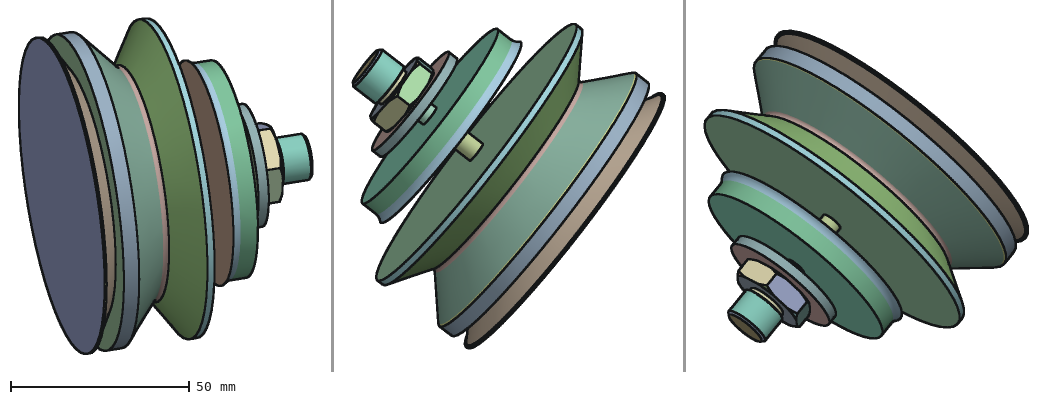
import cadquery as cq
import math

OVERALL_LENGTH = 71.5

LIP_RADIUS = 90.0 / 2
LIP_THICKNESS = 0.6
LIP_STEP = 0.6
LIP_ROOT_RADIUS = 36.4
BAND_START = 5.6
BAND_END = 10.1
BAND_SHOULDER = 0.5
WAIST_FRONT = 20.3
WAIST_REAR = 21.9
WAIST_EDGE_RADIUS = 33.8
WAIST_RADIUS = 33.5
RIM_START = 29.8
RIM_END = 31.9
RIM_RADIUS = 45.5

COLLAR_START = 41.1
COLLAR_FLARE_END = 43.6
COLLAR_END = 48.6
COLLAR_RADIUS = 62.0 / 2
FLARE_RADIUS = 32.1
FLARE_MID_RADIUS = 31.3

WASHER_START = 52.5
WASHER_END = 55.5
WASHER_DIAMETER = 35.0
NUT_END = 61.5
NUT_FLATS = 21.0
NUT_TILT = 3.3
NUT_CHAMFER_HEIGHT = 0.8
NUT_FACE_DIAMETER = 21.7
NECK_END = 63.0
NECK_DIAMETER = 11.5
STUD_DIAMETER = 13.2
STUD_CHAMFER = 0.7

CORE_DIAMETER = 6.0


def plane_at(y):
    """Plane across the axis at height y, with its normal along +Y."""
    return cq.Workplane(cq.Plane((0, y, 0), (1, 0, 0), (0, 1, 0)))


def disc(diameter, start, end):
    return plane_at(start).circle(diameter / 2).extrude(end - start)


def revolve_profile(profile):
    """Close a radius-height profile on the axis and turn it about Y."""
    return profile.close().revolve(360, (0, 0, 0), (0, 1, 0))


def make_bellows():
    profile = (
        cq.Workplane("XY")
        .lineTo(LIP_RADIUS, 0)
        .lineTo(LIP_RADIUS, LIP_THICKNESS)
        .lineTo(LIP_RADIUS - LIP_STEP, LIP_THICKNESS)
        .lineTo(LIP_ROOT_RADIUS, BAND_START)
        .lineTo(LIP_RADIUS, BAND_START)
        .lineTo(LIP_RADIUS, BAND_END)
        .lineTo(LIP_RADIUS - BAND_SHOULDER, BAND_END + BAND_SHOULDER)
        .lineTo(WAIST_EDGE_RADIUS, WAIST_FRONT)
        .threePointArc(
            (WAIST_RADIUS, (WAIST_FRONT + WAIST_REAR) / 2),
            (WAIST_EDGE_RADIUS, WAIST_REAR),
        )
        .lineTo(RIM_RADIUS, RIM_START)
        .lineTo(RIM_RADIUS, RIM_END)
        .lineTo(0, RIM_END)
    )
    return revolve_profile(profile)


def make_collar():
    flare_middle = (COLLAR_START + COLLAR_FLARE_END) / 2
    profile = (
        cq.Workplane("XY")
        .moveTo(0, COLLAR_START)
        .lineTo(FLARE_RADIUS, COLLAR_START)
        .threePointArc((FLARE_MID_RADIUS, flare_middle), (COLLAR_RADIUS, COLLAR_FLARE_END))
        .lineTo(COLLAR_RADIUS, COLLAR_END)
        .lineTo(0, COLLAR_END)
    )
    return revolve_profile(profile)


def make_nut():
    """Hexagon whose corners are trimmed by a cone at both ends."""
    height = NUT_END - WASHER_END
    hexagon = (
        plane_at(WASHER_END)
        .transformed(rotate=(0, 0, NUT_TILT))
        .polygon(6, NUT_FLATS, circumscribed=True)
        .extrude(height)
    )
    face_radius = NUT_FACE_DIAMETER / 2
    corner_radius = NUT_FLATS / math.sqrt(3)
    profile = (
        cq.Workplane("XY")
        .moveTo(0, WASHER_END)
        .lineTo(face_radius, WASHER_END)
        .lineTo(corner_radius, WASHER_END + NUT_CHAMFER_HEIGHT)
        .lineTo(corner_radius, NUT_END - NUT_CHAMFER_HEIGHT)
        .lineTo(face_radius, NUT_END)
        .lineTo(0, NUT_END)
    )
    return hexagon.intersect(revolve_profile(profile))


def make_stud():
    neck = disc(NECK_DIAMETER, NUT_END, NECK_END)
    thread = disc(STUD_DIAMETER, NECK_END, OVERALL_LENGTH)
    return neck.union(thread.faces(">Y").chamfer(STUD_CHAMFER))


result = (
    make_bellows()
    .union(disc(CORE_DIAMETER, RIM_END, WASHER_START))
    .union(make_collar())
    .union(disc(WASHER_DIAMETER, WASHER_START, WASHER_END))
    .union(make_nut())
    .union(make_stud())
)